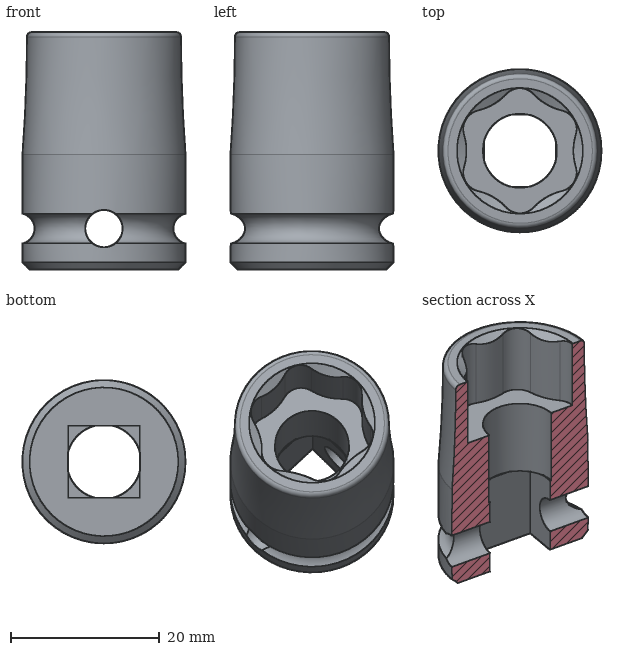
import cadquery as cq
import math

height = 32.0
body_radius = 11.0
nose_radius = 10.4
nose_fillet = 0.67
shoulder_z = 15.52
nose_mid_radius = 10.55
base_chamfer = 1.0

groove_bottom_z = 3.52
groove_top_z = 7.52
groove_radius = 9.38
pin_diameter = 5.0

lobe_count = 6
lobe_centre = 5.85
lobe_arc_radius = 2.55
ridge_radius = 7.2
recess_floor_z = 22.08
mouth_radius = 8.48
mouth_chamfer_angle = 30.0

drive_width = 9.65
drive_depth = 11.2
bore_diameter = 10.0


def polar(radius, degrees):
    angle = math.radians(degrees)
    return radius * math.cos(angle), radius * math.sin(angle)


def make_body():
    """Revolve the outer outline, with its groove and gently hollow taper."""
    groove_mid_z = (groove_bottom_z + groove_top_z) / 2
    nose_top_z = height - nose_fillet
    nose_mid_z = (shoulder_z + nose_top_z) / 2
    fillet_inset = nose_fillet * (1 - math.sqrt(0.5))
    return (
        cq.Workplane("XZ")
        .moveTo(0, 0)
        .lineTo(body_radius - base_chamfer, 0)
        .lineTo(body_radius, base_chamfer)
        .lineTo(body_radius, groove_bottom_z)
        .threePointArc((groove_radius, groove_mid_z), (body_radius, groove_top_z))
        .lineTo(body_radius, shoulder_z)
        .threePointArc((nose_mid_radius, nose_mid_z), (nose_radius, nose_top_z))
        .threePointArc(
            (nose_radius - fillet_inset, height - fillet_inset),
            (nose_radius - nose_fillet, height),
        )
        .lineTo(0, height)
        .close()
        .revolve(360, (0, 0), (0, 1))
    )


def make_recess():
    """Extrude lobes joined by tangent arcs that bulge inward as ridges."""
    lobe_pitch = 360 / lobe_count
    half_pitch = lobe_pitch / 2
    offset = lobe_arc_radius - ridge_radius
    cosine = math.cos(math.radians(half_pitch))
    ridge_centre = (lobe_centre**2 - offset**2) / (2 * (offset + lobe_centre * cosine))
    ridge_arc_radius = ridge_centre - ridge_radius

    lobe_x, lobe_y = polar(lobe_centre, half_pitch)
    share = lobe_arc_radius / (lobe_arc_radius + ridge_arc_radius)
    tangent_x = lobe_x + share * (ridge_centre - lobe_x)
    tangent_y = lobe_y * (1 - share)
    tangent_radius = math.hypot(tangent_x, tangent_y)
    tangent_angle = math.degrees(math.atan2(tangent_y, tangent_x))

    outline = cq.Workplane("XY").workplane(offset=recess_floor_z)
    outline = outline.moveTo(*polar(tangent_radius, -tangent_angle))
    for index in range(lobe_count):
        ridge = index * lobe_pitch
        outline = outline.threePointArc(
            polar(ridge_radius, ridge),
            polar(tangent_radius, ridge + tangent_angle),
        ).threePointArc(
            polar(lobe_centre + lobe_arc_radius, ridge + half_pitch),
            polar(tangent_radius, ridge + lobe_pitch - tangent_angle),
        )
    return outline.close().extrude(height - recess_floor_z)


def make_mouth_chamfer():
    """Cone that bevels the tops of the ridges."""
    depth = mouth_radius * math.tan(math.radians(mouth_chamfer_angle))
    return (
        cq.Workplane("XZ")
        .moveTo(0, height - depth)
        .lineTo(mouth_radius, height)
        .lineTo(0, height)
        .close()
        .revolve(360, (0, 0), (0, 1))
    )


def make_drive():
    """Square drive opening at the bottom, continued by a round bore to the recess."""
    square = cq.Workplane("XY").rect(drive_width, drive_width).extrude(drive_depth)
    bore = (
        cq.Workplane("XY")
        .workplane(offset=drive_depth)
        .circle(bore_diameter / 2)
        .extrude(recess_floor_z - drive_depth)
    )
    return square.union(bore)


def make_pin_hole():
    """Cross hole through the groove along Y."""
    return (
        cq.Workplane("XZ")
        .center(0, (groove_bottom_z + groove_top_z) / 2)
        .circle(pin_diameter / 2)
        .extrude(body_radius, both=True)
    )


result = (
    make_body()
    .cut(make_recess())
    .cut(make_mouth_chamfer())
    .cut(make_drive())
    .cut(make_pin_hole())
)